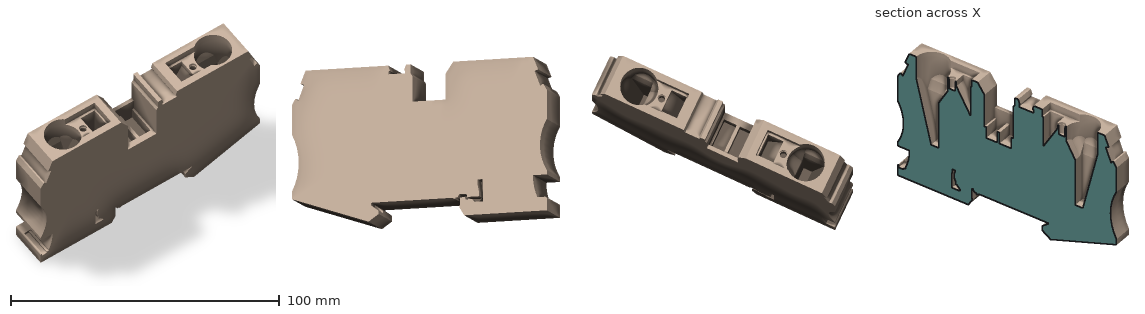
import cadquery as cq
import math


width = 16.0
length = 99.9
height = 58.6
half_length = length / 2
mid_x = width / 2

top_half_span = 44.6
shoulder_z = 45.9
end_steps = [
    (46.6, 53.7),
    (45.2, 53.2),
    (47.5, 47.4),
    (48.2, 48.2),
    (48.7, 48.1),
    (half_length, shoulder_z),
]
grip_top_z = 34.8
grip_depth = 2.7

slot_back_y = 2.7
slot_front_y = -10.2
slot_floor_z = 44.5
slot_chamfer_z = 54.1
marker_groove_z = 55.3

rail_z = 7.1
hook_tip_y = 19.9
hook_end_y = 15.9
foot_gap_bottom_z = 5.1
foot_gap_top_z = 13.5
foot_gap_front_y = -25.0
foot_notch_z = 13.8
foot_z = 0.2
layer_depth = 5.0

ledge_z = 5.4
ledge_back_y = -46.3
ledge_front_y = -49.3
ledge_recess_x = 4.4
ledge_step_y = -47.2
ledge_tread_z = 4.9
ledge_recess_floor_z = 4.2

rim_width = 1.5
recess_floor_z = 39.7
pocket_floor_z = 34.7
pocket_end_x = 13.5
pocket_spans = [(-3.3, 1.9), (-9.4, -4.6)]

entry_y = 34.2
entry_radius = 7.1
entry_bottom_z = 48.8
funnel_floor_outer = 34.5
funnel_floor_inner = 31.2
funnel_outer_angle = 76.3
funnel_inner_angle = 60.0
funnel_flank_angle = 60.0
funnel_side_angle = 59.6
funnel_taper_angle = 78.8
funnel_half_width = 4.7
funnel_mouth_half_width = 5.6
inner_flat_half_width = 2.9

tool_pocket_inner = 16.1
tool_pocket_half_width = 5.3
tool_pocket_floor_z = 55.3
window_inner = 16.7
window_outer = 23.0
window_half_width = 4.4
window_wall_depth = 2.6
window_angle = 59.5
test_hole_y = 25.0
test_hole_radius = 1.5
test_hole_depth = 5.0
test_hole_mouth_depth = 1.0
test_hole_inner_radius = 1.3


def rise(run, angle):
    """Height gained over a horizontal run at an angle in degrees."""
    return run * math.tan(math.radians(angle))


def prism(points, x_start, x_end):
    """Extrude a closed (Y, Z) outline between two X positions."""
    return cq.Workplane("YZ").workplane(offset=x_start).polyline(points).close().extrude(x_end - x_start)


def box(x_span, y_span, z_span):
    """Box given by its limits along each axis."""
    size = [span[1] - span[0] for span in (x_span, y_span, z_span)]
    return cq.Workplane("XY").box(*size, centered=False).translate((x_span[0], y_span[0], z_span[0]))


def mirror_to_end(solid, end):
    """Turn a feature made for the +Y end into its counterpart at the chosen end."""
    return solid if end > 0 else solid.mirror("XZ")


def make_body():
    """Full-width block following the side outline."""
    grip_y = half_length - grip_depth
    outline = cq.Workplane("YZ").moveTo(top_half_span, height)
    for y, z in end_steps:
        outline = outline.lineTo(y, z)
    outline = (
        outline
        .lineTo(half_length, grip_top_z)
        .threePointArc((grip_y, 24.0), (half_length, 13.0))
        .lineTo(half_length, 10.3)
        .lineTo(hook_tip_y, 0)
        .lineTo(hook_end_y, 2.7)
        .lineTo(hook_end_y, 4.8)
        .lineTo(19.0, rail_z)
        .lineTo(-12.9, rail_z)
        .lineTo(-14.0, 6.6)
        .lineTo(-14.2, rail_z)
        .lineTo(-15.0, rail_z)
        .lineTo(-15.6, 8.3)
        .lineTo(-16.0, 8.3)
        .lineTo(-16.0, rail_z)
        .threePointArc((-15.9, 4.8), (-15.8, 3.2))
        .lineTo(-17.6, foot_z)
        .lineTo(-half_length, foot_z)
        .lineTo(-half_length, 4.7)
        .threePointArc((-49.8, 5.2), (ledge_front_y, ledge_z))
        .lineTo(ledge_back_y, ledge_z)
        .threePointArc((-45.0, 9.5), (-44.6, foot_notch_z))
        .lineTo(-half_length, foot_notch_z)
        .lineTo(-half_length, 15.5)
        .threePointArc((-grip_y, 25.2), (-half_length, grip_top_z))
    )
    for y, z in reversed(end_steps):
        outline = outline.lineTo(-y, z)
    return (
        outline
        .lineTo(-top_half_span, height)
        .lineTo(-13.3, height)
        .lineTo(slot_front_y, slot_chamfer_z)
        .lineTo(slot_front_y, slot_floor_z)
        .lineTo(slot_back_y, slot_floor_z)
        .lineTo(slot_back_y, slot_chamfer_z)
        .lineTo(3.5, 55.2)
        .lineTo(3.5, height)
        .lineTo(5.2, height)
        .lineTo(6.0, 56.5)
        .lineTo(5.6, 56.2)
        .lineTo(5.6, marker_groove_z)
        .lineTo(12.0, marker_groove_z)
        .lineTo(12.0, 56.4)
        .lineTo(11.5, 56.5)
        .lineTo(12.2, height)
        .close()
        .extrude(width)
    )


def make_hook_relief():
    """Slanted strip that lowers the hook lip on the -X side."""
    lip = [(19.0, rail_z), (hook_end_y, 4.8), (hook_end_y, 3.9), (19.0, 6.2)]
    return prism(lip, 0, layer_depth)


def make_foot_gap():
    """Spring gap between foot and block: partly blind, open right through at its -Y side."""
    front_wall = [
        (-24.8, foot_gap_top_z), (foot_gap_front_y, 11.5),
        (foot_gap_front_y, foot_gap_bottom_z), (-21.6, foot_gap_bottom_z),
    ]
    near_gap = [
        (-16.0, 8.3), (-18.5, 8.3), (-18.8, rail_z), (-23.5, rail_z), (-23.5, 8.5),
        (-22.9, 11.3), (-22.8, foot_gap_top_z), *front_wall,
        (-20.7, 6.2), (-18.1, 6.2), (-17.9, rail_z), (-16.0, rail_z),
    ]
    through_gap = [
        (-23.6, foot_gap_top_z), *front_wall, (-21.4, 5.5), (-22.9, rail_z),
        (-23.5, rail_z), (-23.5, 8.5), (-24.1, 9.8), (-24.1, 12.0),
    ]
    return prism(near_gap, 0, layer_depth).union(prism(through_gap, 0, width))


def make_ledge_recess():
    """Two-step recess in the foot ledge, open towards +X."""
    x_span = (ledge_recess_x, width)
    upper = box(x_span, (ledge_front_y, ledge_back_y), (ledge_tread_z, ledge_z))
    lower = box(x_span, (ledge_front_y, ledge_step_y), (ledge_recess_floor_z, ledge_tread_z))
    return upper.union(lower)


def make_centre_recess():
    """Recess behind the thin -X rim of the centre slot, with two deeper pockets."""
    recess = box((rim_width, width), (slot_front_y, slot_back_y), (recess_floor_z, slot_floor_z))
    for span in pocket_spans:
        recess = recess.union(box((rim_width, pocket_end_x), span, (pocket_floor_z, slot_floor_z)))
    return recess


def make_wire_entry():
    """Round entry that narrows into a tapered rectangular funnel, at the +Y end."""
    def column(z_bottom):
        start = cq.Workplane("XY", origin=(mid_x, entry_y, z_bottom))
        return start.circle(entry_radius).extrude(height - z_bottom)

    outer_y = entry_y + entry_radius
    floor_z = entry_bottom_z - rise(outer_y - funnel_floor_outer, funnel_outer_angle)

    main_outline = [
        (funnel_floor_inner, floor_z),
        (funnel_floor_outer, floor_z),
        (outer_y, entry_bottom_z),
        (funnel_floor_inner, entry_bottom_z),
    ]
    main = prism(main_outline, 0, width)

    shoulder_z_low = entry_bottom_z - rise(entry_radius - funnel_mouth_half_width, funnel_side_angle)
    taper_z_low = shoulder_z_low - rise(funnel_mouth_half_width - funnel_half_width, funnel_taper_angle)
    half_section = [
        (funnel_half_width, floor_z),
        (funnel_half_width, taper_z_low),
        (funnel_mouth_half_width, shoulder_z_low),
        (entry_radius, entry_bottom_z),
    ]
    section = [(mid_x + x, z) for x, z in half_section]
    section += [(mid_x - x, z) for x, z in reversed(half_section)]
    sides = cq.Workplane("XZ").polyline(section).close().extrude(-half_length)

    ramp_run = funnel_floor_inner - (entry_y - entry_radius)
    ramp_rise = rise(ramp_run, funnel_inner_angle)
    ramp_start_z = entry_bottom_z - ramp_rise
    flank_rise = rise(entry_radius - inner_flat_half_width, funnel_flank_angle)
    trough = [
        (inner_flat_half_width, ramp_start_z),
        (entry_radius, ramp_start_z + flank_rise),
        (entry_radius, entry_bottom_z + flank_rise),
    ]
    trough_points = [cq.Vector(mid_x + x, funnel_floor_inner, z) for x, z in trough]
    trough_points += [cq.Vector(mid_x - x, funnel_floor_inner, z) for x, z in reversed(trough)]
    trough_wire = cq.Wire.makePolygon(trough_points, close=True)
    climb = cq.Vector(0, -ramp_run, ramp_rise)
    ramp = cq.Workplane(cq.Solid.extrudeLinear(trough_wire, [], climb))
    ramp = ramp.intersect(box((0, width), (0, half_length), (floor_z, entry_bottom_z)))

    funnel = main.intersect(sides).union(ramp).intersect(column(floor_z))
    return column(entry_bottom_z).union(funnel)


def make_tool_pocket():
    """Shallow pocket with a sloped operating window and a stepped test hole, at the +Y end."""
    pocket = box(
        (mid_x - tool_pocket_half_width, mid_x + tool_pocket_half_width),
        (tool_pocket_inner, entry_y),
        (tool_pocket_floor_z, height),
    )
    window_ledge_z = tool_pocket_floor_z - window_wall_depth
    window_outline = [
        (window_inner, tool_pocket_floor_z),
        (window_outer, tool_pocket_floor_z),
        (window_outer, window_ledge_z),
        (window_inner, window_ledge_z - rise(window_outer - window_inner, window_angle)),
    ]
    window = prism(window_outline, mid_x - window_half_width, mid_x + window_half_width)
    hole_start = cq.Workplane("XY", origin=(mid_x, test_hole_y, tool_pocket_floor_z))
    test_hole = hole_start.circle(test_hole_radius).extrude(-test_hole_mouth_depth)
    test_hole = test_hole.union(hole_start.circle(test_hole_inner_radius).extrude(-test_hole_depth))
    return pocket.union(window).union(test_hole)


result = make_body()
for cutter in (make_hook_relief(), make_foot_gap(), make_ledge_recess(), make_centre_recess()):
    result = result.cut(cutter)
for end in (1, -1):
    result = result.cut(mirror_to_end(make_wire_entry(), end))
    result = result.cut(mirror_to_end(make_tool_pocket(), end))